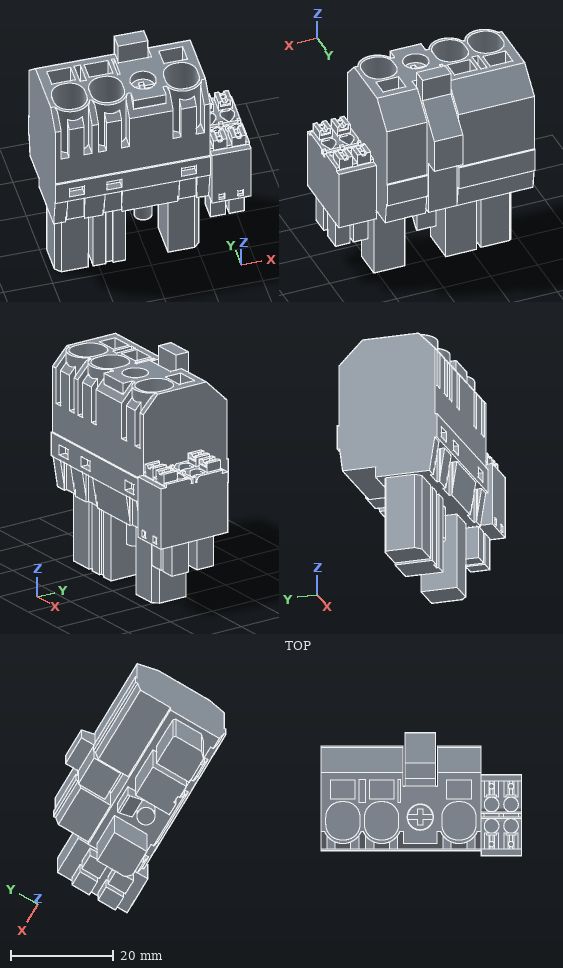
import cadquery as cq
import math


SIDES = (-1, 1)

HOUSING_WIDTH = 31.45
HOUSING_TOP = 44.7
HOUSING_BOTTOM = 15.45
REAR_BOTTOM = 17.6
POLE_PITCH = 7.6
FIRST_POLE_X = (HOUSING_WIDTH - 3 * POLE_PITCH) / 2
FLANGE_X = FIRST_POLE_X + 2 * POLE_PITCH
POLE_XS = [FIRST_POLE_X, FIRST_POLE_X + POLE_PITCH, FIRST_POLE_X + 3 * POLE_PITCH]

BAND_BACK = 20.6
BAND_TOP = 27.3
BAND_BOTTOM = 22.3
BAND_STEP = 0.35
WALL_FRONT = BAND_STEP
WALL_BACK = BAND_BACK - BAND_STEP
FRONT_CHAMFER_Y = 3.75
FRONT_CHAMFER_Z = 41.1
BACK_SLOPE_Y = 15.35
BACK_SLOPE_Z = 39.8
SKIRT_FRONT_TOP = 0.45
SKIRT_FRONT_BOTTOM = 1.55
SKIRT_BACK_TOP = 20.15
SKIRT_BACK_BOTTOM = 19.5
REAR_STEP_Y = 12.7

ENTRY_WIDTH = 6.73
ENTRY_LENGTH = 7.5
ENTRY_CORNER_RADIUS = 3.05
ENTRY_Y = 5.9
ENTRY_FLOOR = BAND_TOP
COLLAR_END_WALL = 0.7
COLLAR_RADIUS = 3.9
COLLAR_LENGTH = ENTRY_LENGTH + 2 * COLLAR_END_WALL
COLLAR_BOTTOM = 33.7
GROOVE_INNER_X = 1.55
GROOVE_OUTER_X = 3.15

TOOL_WIDTH = 4.8
TOOL_FRONT = 10.2
TOOL_BACK = 13.9
SLIT_FRONT = 9.55
SLIT_BACK = 14.0
SLIT_DEPTH = 4.75
SLIT_SPANS = [(7.5, 8.8), (15.1, 15.65)]
WINDOW_WIDTH = 3.05
WINDOW_BOTTOM = 23.4
WINDOW_TOP = 25.5
WINDOW_DEPTH = 1.55

RECESS_MOUTH_WIDTH = 3.55
RECESS_INNER_WIDTH = 3.9
RECESS_MOUTH_DEPTH = 1.3
RECESS_FLARE_END = 1.55
RECESS_FLOOR_Y = 2.1

CONTACT_WIDTH = 6.6
CONTACT_FRONT = 3.8
MIDDLE_CONTACT_BACK = 11.55
OUTER_CONTACT_BACK = 11.25
CODING_CHAMFER = 1.15
REAR_CHAMFER = 0.45
CODING_GROOVE_WIDTH = 1.45
CODING_GROOVE_DEPTH = 0.5

FLANGE_BLOCK_WIDTH = 6.6
FLANGE_BLOCK_FRONT = 1.45
LATCH_SLOT_WIDTH = 6.7
LATCH_WIDTH = 6.05
LATCH_FRONT = 14.2
LATCH_HEAD_BACK = 17.2
LATCH_TOP = 47.7
LATCH_HEAD_BOTTOM = 42.9
LATCH_BACK = 23.2
LATCH_PAD_TOP = 36.9
LATCH_PAD_BOTTOM = 29.8
LATCH_BOTTOM = 18.15
HINGE_BOTTOM = 27.65
HINGE_TOP = 29.57
HOOK_WIDTH = 4.0
HOOK_FRONT = 8.6
HOOK_BACK = 11.95
HOOK_BOTTOM = 8.25
HOOK_CHAMFER = 2.9

SCREW_Y = 6.65
HEAD_BORE_RADIUS = 2.58
HEAD_RADIUS = 2.5
HEAD_TOP = 42.65
HEAD_HEIGHT = 2.85
SHANK_RADIUS = 1.75
SCREW_BOTTOM = 8.82
DRIVE_WIDTH = 1.0
DRIVE_DEPTH = 0.7
CROSS_LENGTH = 3.15

SIGNAL_LEFT = HOUSING_WIDTH
SIGNAL_WIDTH = 7.95
SIGNAL_RIGHT = SIGNAL_LEFT + SIGNAL_WIDTH
SIGNAL_FRONT = -0.95
SIGNAL_BACK = 15.0
SIGNAL_MIDDLE = (SIGNAL_FRONT + SIGNAL_BACK) / 2
SIGNAL_BOTTOM = 15.65
SHOULDER_Z = 28.4
SHOULDER_DEPTH = 1.3
SIGNAL_TOP = 29.05
SIGNAL_PITCH = 3.8
FIRST_SIGNAL_OFFSET = 2.05
SIGNAL_XS = [SIGNAL_LEFT + FIRST_SIGNAL_OFFSET + column * SIGNAL_PITCH for column in range(2)]
SIGNAL_ENTRY_RADIUS = 1.45
SIGNAL_ENTRY_OFFSET = 2.1
SIGNAL_ENTRY_DEPTH = 7.15
WEB_WIDTH = 0.65
WEB_NOTCH_WIDTH = 3.0
WEB_NOTCH_DEPTH = 0.5
CHANNEL_WIDTH = 1.15
CHANNEL_DEPTH = 1.2
CHANNEL_ROUND = 0.8
SIGNAL_PIN_WIDTH = 3.1
SIGNAL_PIN_OUTER = 4.95
SIGNAL_PIN_INNER = 1.0
SIGNAL_PIN_BOTTOM = 9.1
SIGNAL_WINDOW_WIDTH = 1.15
SIGNAL_WINDOW_BOTTOM = 16.2
SIGNAL_WINDOW_TOP = 17.55
SIGNAL_WINDOW_DEPTH = 0.6

BUTTON_WIDTH = 2.75
BUTTON_OUTER = SIGNAL_MIDDLE - SIGNAL_FRONT - SHOULDER_DEPTH
BUTTON_INNER = SIGNAL_ENTRY_OFFSET + SIGNAL_ENTRY_RADIUS
BUTTON_SEAT_Z = 28.52
BUTTON_TOP = 30.95
TRACK_TOP_WIDTH = 1.1
TRACK_FLOOR_WIDTH = 0.6
TRACK_DEPTH = 0.52
DIMPLE_RADIUS = 0.52
DIMPLE_OFFSET = 5.7
DIMPLE_DEPTH = 1.45
NOTCH_WIDTH = 2.0
NOTCH_LENGTH = 0.4
NOTCH_DEPTH = 0.95


def block(x_span, y_span, z_span):
    """Box between two limits along each axis, given in any order."""
    x0, x1 = sorted(x_span)
    y0, y1 = sorted(y_span)
    z0, z1 = sorted(z_span)
    return cq.Workplane("XY").box(x1 - x0, y1 - y0, z1 - z0, centered=False).translate((x0, y0, z0))


def centred(x, width):
    """Limits of a width centred on x."""
    return (x - width / 2, x + width / 2)


def cylinder(x, y, radius, z_bottom, z_top):
    return cq.Workplane("XY", origin=(x, y, z_bottom)).circle(radius).extrude(z_top - z_bottom)


def side_prism(points, x_span):
    """Outline of (Y, Z) points extruded along X."""
    x0, x1 = x_span
    return cq.Workplane("YZ", origin=(x0, 0, 0)).polyline(points).close().extrude(x1 - x0)


def entry_collar(x):
    """Oblong boss around a wire entry, long in Y."""
    plane = cq.Workplane("XY", origin=(x, ENTRY_Y, COLLAR_BOTTOM))
    return plane.slot2D(COLLAR_LENGTH, 2 * COLLAR_RADIUS, 90).extrude(HOUSING_TOP - COLLAR_BOTTOM)


def wire_entry(x):
    """Wire passage with widely rounded corners."""
    y_span = centred(ENTRY_Y, ENTRY_LENGTH)
    passage = block(centred(x, ENTRY_WIDTH), y_span, (ENTRY_FLOOR, HOUSING_TOP))
    return passage.edges("|Z").fillet(ENTRY_CORNER_RADIUS)


def housing_shell():
    profile = [
        (SKIRT_FRONT_BOTTOM, HOUSING_BOTTOM),
        (SKIRT_FRONT_TOP, BAND_BOTTOM),
        (0, BAND_BOTTOM),
        (0, BAND_TOP),
        (WALL_FRONT, BAND_TOP),
        (WALL_FRONT, FRONT_CHAMFER_Z),
        (FRONT_CHAMFER_Y, HOUSING_TOP),
        (BACK_SLOPE_Y, HOUSING_TOP),
        (WALL_BACK, BACK_SLOPE_Z),
        (WALL_BACK, BAND_TOP),
        (BAND_BACK, BAND_TOP),
        (BAND_BACK, BAND_BOTTOM),
        (SKIRT_BACK_TOP, BAND_BOTTOM),
        (SKIRT_BACK_BOTTOM, REAR_BOTTOM),
        (REAR_STEP_Y, REAR_BOTTOM),
        (REAR_STEP_Y, HOUSING_BOTTOM),
    ]
    return side_prism(profile, (0, HOUSING_WIDTH))


def collar_groove(x, side):
    """Upright groove in the front wall that bares one flank of a collar."""
    x_span = (x + side * GROOVE_INNER_X, x + side * GROOVE_OUTER_X)
    return block(x_span, (0, ENTRY_Y), (COLLAR_BOTTOM, HOUSING_TOP))


def skirt_recess(x):
    """Upright recess in the sloping skirt, wider inside than at its mouth."""
    half_outline = [
        (RECESS_MOUTH_WIDTH / 2, 0),
        (RECESS_MOUTH_WIDTH / 2, RECESS_MOUTH_DEPTH),
        (RECESS_INNER_WIDTH / 2, RECESS_FLARE_END),
        (RECESS_INNER_WIDTH / 2, RECESS_FLOOR_Y),
    ]
    mirrored = [(-half_width, y) for half_width, y in reversed(half_outline)]
    plane = cq.Workplane("XY", origin=(x, 0, HOUSING_BOTTOM))
    return plane.polyline(half_outline + mirrored).close().extrude(BAND_BOTTOM - HOUSING_BOTTOM)


def power_contacts():
    """Three contact shrouds, each with its own coding shape."""
    heights = (0, HOUSING_BOTTOM)
    first_x, second_x, third_x = POLE_XS
    first = block(centred(first_x, CONTACT_WIDTH), (CONTACT_FRONT, OUTER_CONTACT_BACK), heights)
    first = first.edges("|Z and <X and <Y").chamfer(CODING_CHAMFER)
    first = first.edges("|Z and <X and >Y").chamfer(REAR_CHAMFER)

    groove_span = (CONTACT_FRONT, CONTACT_FRONT + CODING_GROOVE_DEPTH)
    second = block(centred(second_x, CONTACT_WIDTH), (CONTACT_FRONT, MIDDLE_CONTACT_BACK), heights)
    second = second.cut(block(centred(second_x, CODING_GROOVE_WIDTH), groove_span, heights))

    third = block(centred(third_x, CONTACT_WIDTH), (CONTACT_FRONT, OUTER_CONTACT_BACK), heights)
    third = third.edges("|Z and >X and <Y").chamfer(CODING_CHAMFER)
    return [first, second, third]


def latch():
    """Release lever with a finger pad, carried on a hinge at the front of its slot."""
    profile = [
        (LATCH_FRONT, LATCH_TOP),
        (LATCH_HEAD_BACK, LATCH_TOP),
        (LATCH_HEAD_BACK, LATCH_HEAD_BOTTOM),
        (LATCH_BACK, LATCH_PAD_TOP),
        (LATCH_BACK, LATCH_PAD_BOTTOM),
        (WALL_BACK, LATCH_PAD_BOTTOM),
        (WALL_BACK, LATCH_BOTTOM),
        (LATCH_FRONT, LATCH_BOTTOM),
    ]
    x_span = centred(FLANGE_X, LATCH_WIDTH)
    hinge = block(x_span, (REAR_STEP_Y, LATCH_FRONT), (HINGE_BOTTOM, HINGE_TOP))
    return side_prism(profile, x_span).union(hinge)


def locking_hook():
    """Tongue under the flange, bevelled at its front lower end."""
    profile = [
        (HOOK_FRONT, HOUSING_BOTTOM),
        (HOOK_FRONT, HOOK_BOTTOM + HOOK_CHAMFER),
        (HOOK_FRONT + HOOK_CHAMFER, HOOK_BOTTOM),
        (HOOK_BACK, HOOK_BOTTOM),
        (HOOK_BACK, HOUSING_BOTTOM),
    ]
    return side_prism(profile, centred(FLANGE_X, HOOK_WIDTH))


def screw_bore():
    head_bore = cylinder(FLANGE_X, SCREW_Y, HEAD_BORE_RADIUS, HEAD_TOP - HEAD_HEIGHT, HOUSING_TOP)
    shank_bore = cylinder(FLANGE_X, SCREW_Y, SHANK_RADIUS, HOUSING_BOTTOM, HOUSING_TOP)
    return head_bore.union(shank_bore)


def make_housing():
    body = housing_shell()

    for x in POLE_XS:
        for side in SIDES:
            body = body.cut(collar_groove(x, side))
    for x in POLE_XS:
        body = body.union(entry_collar(x))

    for x in POLE_XS:
        body = body.cut(wire_entry(x))
        tool_hole = block(centred(x, TOOL_WIDTH), (TOOL_FRONT, TOOL_BACK), (ENTRY_FLOOR, HOUSING_TOP))
        body = body.cut(tool_hole)
        window = block(centred(x, WINDOW_WIDTH), (0, WINDOW_DEPTH), (WINDOW_BOTTOM, WINDOW_TOP))
        body = body.cut(window)
        body = body.cut(skirt_recess(x))
    for x_span in SLIT_SPANS:
        body = body.cut(block(x_span, (SLIT_FRONT, SLIT_BACK), (HOUSING_TOP - SLIT_DEPTH, HOUSING_TOP)))

    block_span = centred(FLANGE_X, FLANGE_BLOCK_WIDTH)
    block_bottom = HOUSING_TOP - (FRONT_CHAMFER_Y - FLANGE_BLOCK_FRONT)
    body = body.union(block(block_span, (FLANGE_BLOCK_FRONT, FRONT_CHAMFER_Y), (block_bottom, HOUSING_TOP)))
    slot_span = centred(FLANGE_X, LATCH_SLOT_WIDTH)
    body = body.cut(block(slot_span, (REAR_STEP_Y, BAND_BACK), (HOUSING_BOTTOM, HOUSING_TOP)))
    body = body.union(latch())
    body = body.union(locking_hook())
    body = body.cut(screw_bore())

    for contact in power_contacts():
        body = body.union(contact)
    return body


def make_screw():
    head = cylinder(FLANGE_X, SCREW_Y, HEAD_RADIUS, HEAD_TOP - HEAD_HEIGHT, HEAD_TOP)
    shank = cylinder(FLANGE_X, SCREW_Y, SHANK_RADIUS, SCREW_BOTTOM, HEAD_TOP - HEAD_HEIGHT)
    drive_heights = (HEAD_TOP - DRIVE_DEPTH, HEAD_TOP)
    slot = block(centred(FLANGE_X, 2 * HEAD_RADIUS), centred(SCREW_Y, DRIVE_WIDTH), drive_heights)
    cross = block(centred(FLANGE_X, DRIVE_WIDTH), centred(SCREW_Y, CROSS_LENGTH), drive_heights)
    return head.union(shank).cut(slot).cut(cross)


def wire_channel(side):
    """Trough beside the middle web, with its outer edge rounded over."""
    web_y = SIGNAL_MIDDLE + side * WEB_WIDTH / 2
    outer_y = web_y + side * CHANNEL_WIDTH
    lip_y = outer_y - side * CHANNEL_ROUND
    floor_z = SIGNAL_TOP - CHANNEL_DEPTH
    arc_reach = CHANNEL_ROUND * math.sqrt(0.5)
    round_z = SIGNAL_TOP - CHANNEL_ROUND
    round_middle = (outer_y - side * arc_reach, round_z + arc_reach)
    trough = (
        cq.Workplane("YZ", origin=(SIGNAL_LEFT, 0, 0))
        .moveTo(web_y, SIGNAL_TOP)
        .lineTo(web_y, floor_z)
        .lineTo(lip_y, floor_z)
        .lineTo(lip_y, round_z)
        .threePointArc(round_middle, (outer_y, SIGNAL_TOP))
        .close()
    )
    return trough.extrude(SIGNAL_WIDTH)


def button_span(side):
    return (SIGNAL_MIDDLE + side * BUTTON_INNER, SIGNAL_MIDDLE + side * BUTTON_OUTER)


def make_signal_block():
    x_span = (SIGNAL_LEFT, SIGNAL_RIGHT)
    body = block(x_span, (SIGNAL_FRONT, SIGNAL_BACK), (SIGNAL_BOTTOM, SHOULDER_Z))
    raised_span = (SIGNAL_FRONT + SHOULDER_DEPTH, SIGNAL_BACK - SHOULDER_DEPTH)
    body = body.union(block(x_span, raised_span, (SHOULDER_Z, SIGNAL_TOP)))

    for side in SIDES:
        body = body.cut(wire_channel(side))

    for x in SIGNAL_XS:
        web_notch = block(
            centred(x, WEB_NOTCH_WIDTH),
            centred(SIGNAL_MIDDLE, WEB_WIDTH),
            (SIGNAL_TOP - WEB_NOTCH_DEPTH, SIGNAL_TOP),
        )
        window = block(
            centred(x, SIGNAL_WINDOW_WIDTH),
            (SIGNAL_FRONT, SIGNAL_FRONT + SIGNAL_WINDOW_DEPTH),
            (SIGNAL_WINDOW_BOTTOM, SIGNAL_WINDOW_TOP),
        )
        body = body.cut(web_notch).cut(window)
        for side in SIDES:
            entry_y = SIGNAL_MIDDLE + side * SIGNAL_ENTRY_OFFSET
            entry_floor = SIGNAL_TOP - SIGNAL_ENTRY_DEPTH
            entry = cylinder(x, entry_y, SIGNAL_ENTRY_RADIUS, entry_floor, SIGNAL_TOP)
            seat = block(centred(x, BUTTON_WIDTH), button_span(side), (BUTTON_SEAT_Z, SIGNAL_TOP))
            pin_span = (SIGNAL_MIDDLE + side * SIGNAL_PIN_INNER, SIGNAL_MIDDLE + side * SIGNAL_PIN_OUTER)
            pin = block(centred(x, SIGNAL_PIN_WIDTH), pin_span, (SIGNAL_PIN_BOTTOM, SIGNAL_BOTTOM))
            body = body.cut(entry).cut(seat).union(pin)
    return body


def make_button(x, side):
    """Button with a tapered screwdriver track, a dimple in it and a notch at the wire end."""
    y_inner, y_outer = button_span(side)
    body = block(centred(x, BUTTON_WIDTH), (y_inner, y_outer), (BUTTON_SEAT_Z, BUTTON_TOP))

    track_outline = [
        (x - TRACK_TOP_WIDTH / 2, BUTTON_TOP),
        (x - TRACK_FLOOR_WIDTH / 2, BUTTON_TOP - TRACK_DEPTH),
        (x + TRACK_FLOOR_WIDTH / 2, BUTTON_TOP - TRACK_DEPTH),
        (x + TRACK_TOP_WIDTH / 2, BUTTON_TOP),
    ]
    track_plane = cq.Workplane("XZ", origin=(0, max(y_inner, y_outer), 0))
    track = track_plane.polyline(track_outline).close().extrude(abs(y_outer - y_inner))

    dimple_y = SIGNAL_MIDDLE + side * DIMPLE_OFFSET
    dimple = cylinder(x, dimple_y, DIMPLE_RADIUS, BUTTON_TOP - DIMPLE_DEPTH, BUTTON_TOP)
    notch_span = (y_inner, y_inner + side * NOTCH_LENGTH)
    notch = block(centred(x, NOTCH_WIDTH), notch_span, (BUTTON_TOP - NOTCH_DEPTH, BUTTON_TOP))
    return body.cut(track).cut(dimple).cut(notch)


housing = make_housing()
screw = make_screw()
signal_block = make_signal_block()
buttons = [make_button(x, side).val() for x in SIGNAL_XS for side in SIDES]

result = cq.Compound.makeCompound([housing.val(), screw.val(), signal_block.val(), *buttons])